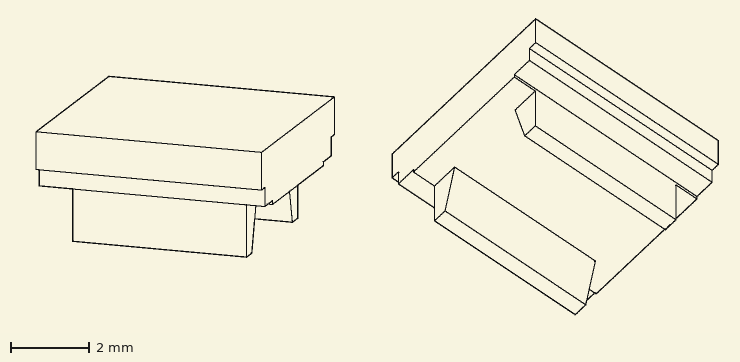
import cadquery as cq

length = 6.1
top_width = 5.7
top_height = 1.0
middle_width = 5.2
middle_height = 0.5
base_width = 4.0
base_height = 0.1

overall_height = 3.06
leg_length = 4.7
leg_root_thickness = 0.8
leg_tip_thickness = 0.42
leg_height = overall_height - top_height - middle_height - base_height

base_bottom = leg_height
middle_bottom = base_bottom + base_height
top_bottom = middle_bottom + middle_height


def plate(width, height, bottom):
    """Full-length rectangular plate centred on the Z axis."""
    return cq.Workplane("XY").workplane(offset=bottom).rect(length, width).extrude(height)


def leg(side):
    """Leg on the +Y (side = 1) or -Y (side = -1) edge, with a sloping inner face."""
    outer = base_width / 2
    profile = [
        (side * outer, base_bottom),
        (side * outer, 0),
        (side * (outer - leg_tip_thickness), 0),
        (side * (outer - leg_root_thickness), base_bottom),
    ]
    return cq.Workplane("YZ").polyline(profile).close().extrude(leg_length / 2, both=True)


result = plate(top_width, top_height, top_bottom)
result = result.union(plate(middle_width, middle_height, middle_bottom))
result = result.union(plate(base_width, base_height, base_bottom))
for side in (-1, 1):
    result = result.union(leg(side))